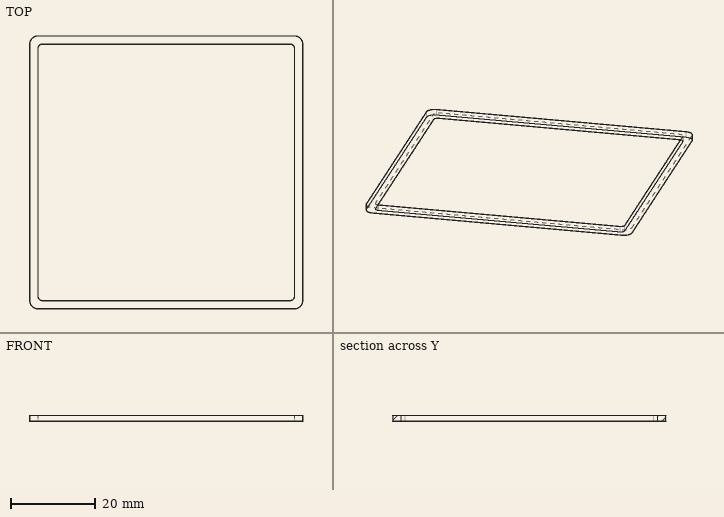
import cadquery as cq

outer_side = 65.0
thickness = 1.4
rail_width = 2.0
outer_corner_radius = 2.0
inner_corner_radius = 1.0

opening_side = outer_side - 2 * rail_width


def rounded_square(side, corner_radius):
    """Square plate standing on Z = 0 with rounded vertical edges."""
    plate = cq.Workplane("XY").box(side, side, thickness, centered=(True, True, False))
    return plate.edges("|Z").fillet(corner_radius)


result = rounded_square(outer_side, outer_corner_radius).cut(
    rounded_square(opening_side, inner_corner_radius)
)